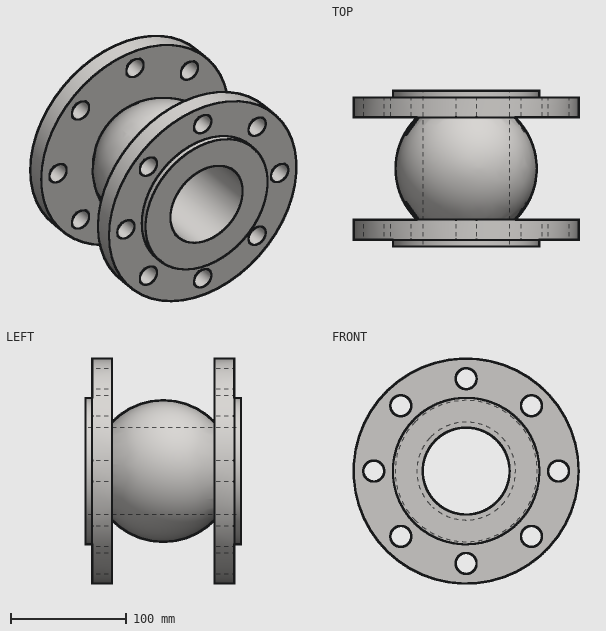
import cadquery as cq

flange_diameter = 195.0
length = 135.0
bore_diameter = 75.0

flange_thickness = 17.4
face_diameter = 127.0
face_height = 5.8

bolt_count = 8
bolt_hole_diameter = 18.0
bolt_circle_diameter = 159.9

ball_diameter = 122.8

half_length = length / 2
flange_outer = half_length - face_height
flange_inner = flange_outer - flange_thickness


def disc(diameter, start, end):
    """Solid cylinder on the Y axis between two Y positions."""
    return (
        cq.Workplane("XZ", origin=(0, start, 0))
        .circle(diameter / 2)
        .extrude(start - end)
    )


def flange(side):
    """Flange with its raised face; side is +1 or -1 along Y."""
    plate = disc(flange_diameter, side * flange_inner, side * flange_outer)
    raised_face = disc(face_diameter, side * flange_inner, side * half_length)
    return plate.union(raised_face)


def ball_body():
    """Sphere cut flat where it meets the inner faces of the flanges."""
    sphere = cq.Workplane("XY").sphere(ball_diameter / 2)
    return sphere.intersect(disc(flange_diameter, -flange_inner, flange_inner))


def bolt_holes(side):
    """Ring of bolt hole cutters through one flange, the first hole on the X axis."""
    return (
        cq.Workplane("XZ", origin=(0, side * flange_inner, 0))
        .polarArray(bolt_circle_diameter / 2, 0, 360, bolt_count)
        .circle(bolt_hole_diameter / 2)
        .extrude(-side * flange_thickness)
    )


result = ball_body()
for side in (-1, 1):
    result = result.union(flange(side)).cut(bolt_holes(side))
result = result.cut(disc(bore_diameter, -half_length, half_length))